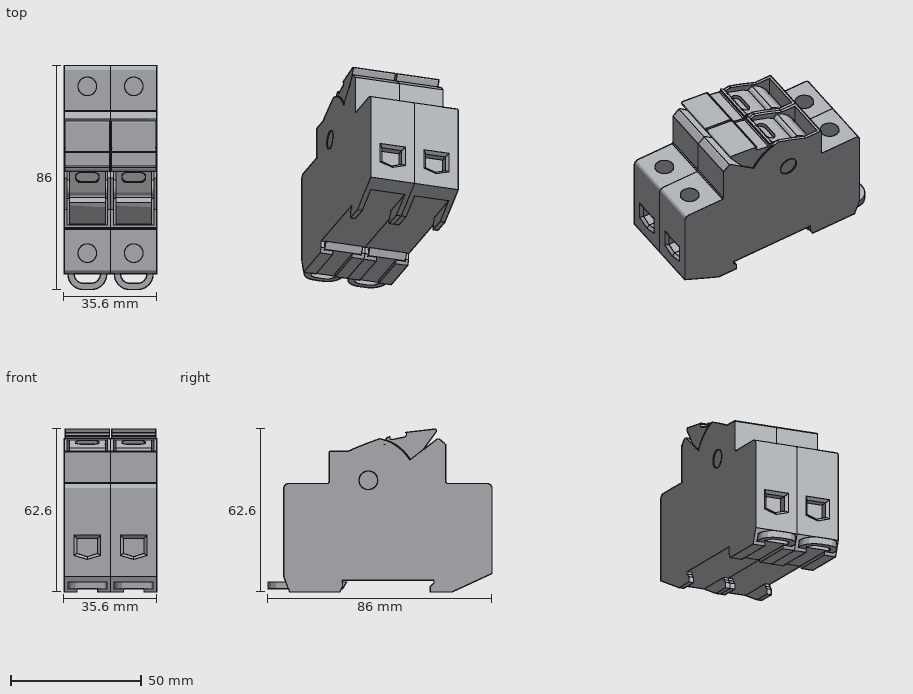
import cadquery as cq
import math


POLE_COUNT = 2
POLE_WIDTH = 17.8

BODY_DEPTH = 80.0
SHOULDER_Z = 41.7
SHOULDER_RADIUS = 2.0
FRONT_FOOT_Y = 2.3
FRONT_FOOT_Z = 6.0
REAR_FOOT_Y = 64.5
REAR_FOOT_Z = 7.1

TOWER_FRONT_Y = 17.5
TOWER_REAR_Y = 62.3
TOWER_FRONT_Z = 54.1
TOWER_CHAMFER = 0.35
TOWER_BASE_BEVEL = 0.4
CREST_Z = 58.9
FRONT_SLOPE_START = (24.7, TOWER_FRONT_Z)
FRONT_SLOPE_MIDDLE = (30.8, 56.7)
CREST = (36.9, CREST_Z)
LEVER_SEAT_MIDDLE = (43.9, 55.7)
LEVER_SEAT_BOTTOM = (48.4, 50.7)
REAR_RAMP_TOP = (58.7, 58.65)
REAR_CREST_MIDDLE = (59.2, 58.8)
REAR_CREST_END = (59.5, 58.8)
REAR_CHAMFER_TOP = (60.0, 58.6)
REAR_CHAMFER_Z = 56.6

RAIL_Z = 4.6
RAIL_FRONT_Y = 22.5
RAIL_FRONT_LEAD_Y = 21.5
RAIL_FRONT_LEAD_Z = 2.0
RAIL_REAR_Y = 57.6
HOOK_Y = 56.25
HOOK_Z = 2.15
HOOK_NECK_Z = 3.6
REAR_SLOT_WIDTH = 13.85

SCREW_HOLE_DIAMETER = 7.1
SCREW_HOLE_INSET = 8.0
SCREW_HOLE_DEPTH = 10.3
ENTRY_WIDTH = 10.2
ENTRY_TOP_Z = 21.85
ENTRY_SIDE_Z = 14.1
ENTRY_TIP_Z = 12.55
ENTRY_INNER_WIDTH = 8.0
ENTRY_INNER_TOP_Z = 20.6
ENTRY_INNER_SIDE_Z = 14.9
ENTRY_INNER_TIP_Z = 13.6
ENTRY_BEVEL_DEPTH = 1.1
ENTRY_DEPTH = 4.3

PIVOT_Y = 32.5
PIVOT_Z = 42.9
PIVOT_DIAMETER = 7.05
PIVOT_CLEARANCE = 0.1
DRUM_RADIUS = 13.3
DRUM_CLEARANCE = 0.35
CARRIER_WIDTH = 13.8
CAVITY_WIDTH = 15.5
LEVER_WIDTH = 17.0
LEVER_GAP = 0.3

RIDGE_Y = 27.1
RIDGE_REAR = (27.4, 55.3)
GROOVE_RISE = (28.4, 54.8)
GROOVE_BOTTOM = (29.3, 54.2)
GROOVE_HOLLOW = (30.1, 54.3)
GROOVE_STEP = (30.5, 54.7)
GROOVE_SHOULDER = (31.05, 55.2)
FACE_START = (31.4, 55.4)
FACE_ANGLE = 20.5
NECK_FRONT_Y = 40.4
NECK_REAR_Y = 43.0
NECK_TOP_Z = 57.6

FINGER_SLOT_LENGTH = 9.1
FINGER_SLOT_WIDTH = 4.2
FINGER_SLOT_Y = 37.0
FINGER_SLOT_DEPTH = 1.4

LEVER_TIP_Y = 48.6
LEVER_KINK_Y = 53.7
LEVER_NOSE_LOW = (58.6, 61.6)
LEVER_NOSE_MIDDLE = (58.6, 62.3)
LEVER_NOSE_TOP = (58.0, 62.6)
LIP_TOP = (46.8, 61.3)
LIP_BOTTOM = (47.0, 61.0)
LIP_ROOT_Z = 60.1
LEDGE_REAR = (46.6, 59.6)
LEDGE_FRONT = (41.45, 58.6)
BEAD_REAR_Y = 40.85
BEAD_ROOT_Z = 58.8
BEAD_REAR_Z = 59.7
BEAD_FRONT = (40.0, 59.4)
LEVER_FRONT_Y = 39.3
LEVER_FRONT_TOP_Z = 59.0
LEVER_FRONT_Z = 58.1

CLIP_WIDTH = 15.0
CLIP_BOTTOM_Z = 1.3
CLIP_TOP_Z = 3.95
CLIP_REACH = 6.0
CLIP_BAND = 2.5
CLIP_RADIUS = 6.0
CLIP_EYE_REAR_Y = 0.2
CLIP_REAR_TOP_Y = 24.25
CLIP_REAR_BOTTOM_Y = 22.6
CLIP_SLOT_WIDTH = 7.8


def extrude_across(profile, width):
    """Extrude a closed profile in the YZ plane, centred on X = 0."""
    return profile.close().extrude(width / 2, both=True)


def box_between(width, y_range, z_range):
    """Box centred on X = 0 between the given Y and Z limits."""
    depth = y_range[1] - y_range[0]
    height = z_range[1] - z_range[0]
    corner = (-width / 2, y_range[0], z_range[0])
    return cq.Workplane("XY").box(width, depth, height, centered=False).translate(corner)


def pivot_cylinder(diameter, length):
    return (
        cq.Workplane("YZ")
        .center(PIVOT_Y, PIVOT_Z)
        .circle(diameter / 2)
        .extrude(length / 2, both=True)
    )


def rear_ramp_z(y):
    """Height of the sloping rear wall of the lever seat."""
    bottom_y, bottom_z = LEVER_SEAT_BOTTOM
    top_y, top_z = REAR_RAMP_TOP
    return bottom_z + (y - bottom_y) * (top_z - bottom_z) / (top_y - bottom_y)


def drum_z(y):
    """Height of the upper half of the carrier drum."""
    return PIVOT_Z + math.sqrt(DRUM_RADIUS**2 - (y - PIVOT_Y) ** 2)


def face_z(y):
    """Height of the flat sloping face of the carrier."""
    return FACE_START[1] + (y - FACE_START[0]) * math.tan(math.radians(FACE_ANGLE))


def housing_blank():
    profile = (
        cq.Workplane("YZ")
        .moveTo(FRONT_FOOT_Y, 0)
        .lineTo(0, FRONT_FOOT_Z)
        .lineTo(0, SHOULDER_Z - SHOULDER_RADIUS)
        .radiusArc((SHOULDER_RADIUS, SHOULDER_Z), SHOULDER_RADIUS)
        .lineTo(TOWER_FRONT_Y - TOWER_BASE_BEVEL, SHOULDER_Z)
        .lineTo(TOWER_FRONT_Y, SHOULDER_Z + TOWER_BASE_BEVEL)
        .lineTo(TOWER_FRONT_Y, TOWER_FRONT_Z - TOWER_CHAMFER)
        .lineTo(TOWER_FRONT_Y + TOWER_CHAMFER, TOWER_FRONT_Z)
        .lineTo(*FRONT_SLOPE_START)
        .threePointArc(FRONT_SLOPE_MIDDLE, CREST)
        .threePointArc(LEVER_SEAT_MIDDLE, LEVER_SEAT_BOTTOM)
        .lineTo(*REAR_RAMP_TOP)
        .threePointArc(REAR_CREST_MIDDLE, REAR_CREST_END)
        .lineTo(*REAR_CHAMFER_TOP)
        .lineTo(TOWER_REAR_Y, REAR_CHAMFER_Z)
        .lineTo(TOWER_REAR_Y, SHOULDER_Z + TOWER_BASE_BEVEL)
        .lineTo(TOWER_REAR_Y + TOWER_BASE_BEVEL, SHOULDER_Z)
        .lineTo(BODY_DEPTH - SHOULDER_RADIUS, SHOULDER_Z)
        .radiusArc((BODY_DEPTH, SHOULDER_Z - SHOULDER_RADIUS), SHOULDER_RADIUS)
        .lineTo(BODY_DEPTH, REAR_FOOT_Z)
        .lineTo(REAR_FOOT_Y, 0)
        .lineTo(HOOK_Y, 0)
        .lineTo(HOOK_Y, HOOK_Z)
        .lineTo(RAIL_REAR_Y, HOOK_NECK_Z)
        .lineTo(RAIL_REAR_Y, RAIL_Z)
        .lineTo(RAIL_FRONT_Y, RAIL_Z)
        .lineTo(RAIL_FRONT_Y, RAIL_FRONT_LEAD_Z)
        .lineTo(RAIL_FRONT_LEAD_Y, 0)
    )
    return extrude_across(profile, POLE_WIDTH)


def entry_outline(width, top_z, side_z, tip_z, y):
    """Five-sided cable entry outline on the plane at the given Y."""
    half = width / 2
    corners = [(-half, top_z), (half, top_z), (half, side_z), (0, tip_z), (-half, side_z)]
    points = [cq.Vector(x, y, z) for x, z in corners]
    return cq.Wire.makePolygon(points, close=True)


def cable_entry():
    """Bevelled cable entry cut into the front face."""
    outer = entry_outline(ENTRY_WIDTH, ENTRY_TOP_Z, ENTRY_SIDE_Z, ENTRY_TIP_Z, 0)
    inner_sizes = (ENTRY_INNER_WIDTH, ENTRY_INNER_TOP_Z, ENTRY_INNER_SIDE_Z, ENTRY_INNER_TIP_Z)
    inner = entry_outline(*inner_sizes, ENTRY_BEVEL_DEPTH)
    end = entry_outline(*inner_sizes, ENTRY_DEPTH)
    bevel = cq.Solid.makeLoft([outer, inner], True)
    pocket = cq.Solid.makeLoft([inner, end], True)
    return cq.Workplane(bevel).union(cq.Workplane(pocket))


def screw_holes():
    return (
        cq.Workplane("XY", origin=(0, 0, SHOULDER_Z))
        .pushPoints([(0, SCREW_HOLE_INSET), (0, BODY_DEPTH - SCREW_HOLE_INSET)])
        .circle(SCREW_HOLE_DIAMETER / 2)
        .extrude(-SCREW_HOLE_DEPTH)
    )


def carrier_cavity():
    reach = DRUM_RADIUS + DRUM_CLEARANCE
    return box_between(
        CAVITY_WIDTH, (PIVOT_Y - reach, PIVOT_Y + reach), (PIVOT_Z - reach, CREST_Z)
    )


def make_housing():
    front_entry = cable_entry()
    rear_entry = front_entry.mirror("XZ").translate((0, BODY_DEPTH, 0))
    pivot_hole = pivot_cylinder(PIVOT_DIAMETER + 2 * PIVOT_CLEARANCE, POLE_WIDTH)
    clip_channel = box_between(CLIP_WIDTH, (0, RAIL_FRONT_Y), (CLIP_BOTTOM_Z, CLIP_TOP_Z))
    clip_slot = box_between(CLIP_SLOT_WIDTH, (0, RAIL_FRONT_Y), (0, CLIP_BOTTOM_Z))
    rear_slot = box_between(REAR_SLOT_WIDTH, (HOOK_Y, BODY_DEPTH), (0, RAIL_Z))
    return (
        housing_blank()
        .cut(front_entry)
        .cut(rear_entry)
        .cut(screw_holes())
        .cut(carrier_cavity())
        .cut(pivot_hole)
        .cut(clip_channel)
        .cut(clip_slot)
        .cut(rear_slot)
    )


def carrier_drum():
    """Drum with its flat upper face, ridge groove and the neck that joins the lever."""
    profile = (
        cq.Workplane("YZ")
        .moveTo(RIDGE_Y, drum_z(RIDGE_Y))
        .threePointArc((PIVOT_Y, PIVOT_Z - DRUM_RADIUS), (NECK_REAR_Y, drum_z(NECK_REAR_Y)))
        .lineTo(NECK_REAR_Y, NECK_TOP_Z)
        .lineTo(NECK_FRONT_Y, face_z(NECK_FRONT_Y))
        .lineTo(*FACE_START)
        .threePointArc(GROOVE_SHOULDER, GROOVE_STEP)
        .threePointArc(GROOVE_HOLLOW, GROOVE_BOTTOM)
        .lineTo(*GROOVE_RISE)
        .lineTo(*RIDGE_REAR)
    )
    return extrude_across(profile, CARRIER_WIDTH)


def finger_slot():
    """Stadium recess square to the sloping face of the carrier."""
    return (
        cq.Workplane("XY")
        .slot2D(FINGER_SLOT_LENGTH, FINGER_SLOT_WIDTH)
        .extrude(FINGER_SLOT_DEPTH, both=True)
        .rotate((0, 0, 0), (1, 0, 0), FACE_ANGLE)
        .translate((0, FINGER_SLOT_Y, face_z(FINGER_SLOT_Y)))
    )


def lever():
    seat_y, seat_z = LEVER_SEAT_MIDDLE
    profile = (
        cq.Workplane("YZ")
        .moveTo(LEVER_TIP_Y, rear_ramp_z(LEVER_TIP_Y))
        .lineTo(LEVER_KINK_Y, rear_ramp_z(LEVER_KINK_Y))
        .lineTo(*LEVER_NOSE_LOW)
        .threePointArc(LEVER_NOSE_MIDDLE, LEVER_NOSE_TOP)
        .lineTo(*LIP_TOP)
        .lineTo(*LIP_BOTTOM)
        .lineTo(LIP_BOTTOM[0], LIP_ROOT_Z)
        .lineTo(*LEDGE_REAR)
        .lineTo(*LEDGE_FRONT)
        .lineTo(BEAD_REAR_Y, BEAD_ROOT_Z)
        .lineTo(BEAD_REAR_Y, BEAD_REAR_Z)
        .lineTo(*BEAD_FRONT)
        .lineTo(LEVER_FRONT_Y, LEVER_FRONT_TOP_Z)
        .lineTo(LEVER_FRONT_Y, LEVER_FRONT_Z + LEVER_GAP)
        .threePointArc((seat_y, seat_z + LEVER_GAP), (LEVER_TIP_Y, rear_ramp_z(LEVER_TIP_Y)))
    )
    return extrude_across(profile, LEVER_WIDTH)


def make_carrier():
    pivot = pivot_cylinder(PIVOT_DIAMETER, LEVER_WIDTH)
    drum = carrier_drum().cut(finger_slot())
    return drum.union(pivot).union(lever())


def rounded_end(width, reach, radius, rear_y):
    """Plan outline with two rounded front corners at Y = -reach and a square rear at rear_y."""
    half = width / 2
    return (
        cq.Workplane("XY", origin=(0, 0, CLIP_BOTTOM_Z))
        .moveTo(half, rear_y)
        .lineTo(half, radius - reach)
        .radiusArc((half - radius, -reach), radius)
        .lineTo(radius - half, -reach)
        .radiusArc((-half, radius - reach), radius)
        .lineTo(-half, rear_y)
        .close()
        .extrude(CLIP_TOP_Z - CLIP_BOTTOM_Z)
    )


def make_clip():
    bar = rounded_end(CLIP_WIDTH, CLIP_REACH, CLIP_RADIUS, CLIP_REAR_TOP_Y)
    eye = rounded_end(
        CLIP_WIDTH - 2 * CLIP_BAND,
        CLIP_REACH - CLIP_BAND,
        CLIP_RADIUS - CLIP_BAND,
        CLIP_EYE_REAR_Y,
    )
    lead_in = (
        cq.Workplane("YZ")
        .moveTo(CLIP_REAR_BOTTOM_Y, CLIP_BOTTOM_Z)
        .lineTo(CLIP_REAR_TOP_Y, CLIP_BOTTOM_Z)
        .lineTo(CLIP_REAR_TOP_Y, CLIP_TOP_Z)
    )
    return bar.cut(eye).cut(extrude_across(lead_in, CLIP_WIDTH))


bodies = []
for pole in range(POLE_COUNT):
    offset = ((pole - (POLE_COUNT - 1) / 2) * POLE_WIDTH, 0, 0)
    for make_body in (make_housing, make_carrier, make_clip):
        bodies.append(make_body().translate(offset).solids().val())

result = cq.Compound.makeCompound(bodies)